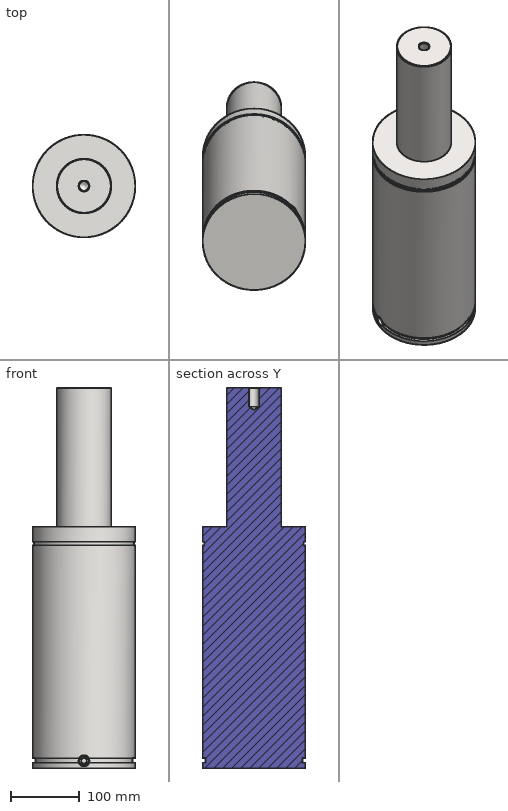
import cadquery as cq
import math

total_height = 555.0
body_diameter = 150.0
body_height = 352.5
rod_diameter = 80.0
rod_chamfer = 1.0

upper_groove_bottom = 325.0
upper_groove_width = 5.0
upper_groove_depth = 1.5
lower_groove_bottom = 8.5
lower_groove_width = 6.5
lower_groove_depth = 4.0

rod_hole_diameter = 14.0
rod_hole_mouth_diameter = 16.0
rod_hole_depth = 28.0
drill_point_angle = 118.0

port_height = 11.0
port_diameter = 16.0
port_rim_diameter = 14.0
port_bore_diameter = 8.5
port_recess_depth = 5.5
port_bore_depth = 11.0
port_root_depth = 14.0

body_radius = body_diameter / 2
port_face = math.sqrt(body_radius**2 - (port_diameter / 2) ** 2)


def body_groove(bottom, width, depth):
    """Ring to cut from the outside of the body."""
    return (
        cq.Workplane("XY", origin=(0, 0, bottom))
        .circle(body_radius)
        .circle(body_radius - depth)
        .extrude(width)
    )


def rod_hole():
    """Blind hole with a chamfered mouth and a conical drill point."""
    radius = rod_hole_diameter / 2
    mouth_radius = rod_hole_mouth_diameter / 2
    mouth_chamfer = mouth_radius - radius
    point_depth = radius / math.tan(math.radians(drill_point_angle / 2))
    floor = total_height - rod_hole_depth
    return (
        cq.Workplane("XZ")
        .moveTo(0, total_height)
        .lineTo(mouth_radius, total_height)
        .lineTo(radius, total_height - mouth_chamfer)
        .lineTo(radius, floor)
        .lineTo(0, floor - point_depth)
        .close()
        .revolve(360, (0, 0, 0), (0, 1, 0))
    )


def port_cylinder(diameter, outer, depth):
    """Cylinder along Y, running inward from the distance `outer` on the -Y side."""
    return (
        cq.Workplane("XZ", origin=(0, -outer + depth, port_height))
        .circle(diameter / 2)
        .extrude(depth)
    )


body = cq.Workplane("XY").circle(body_radius).extrude(body_height)
body = body.cut(body_groove(upper_groove_bottom, upper_groove_width, upper_groove_depth))
body = body.cut(body_groove(lower_groove_bottom, lower_groove_width, lower_groove_depth))

rod = (
    cq.Workplane("XY", origin=(0, 0, body_height))
    .circle(rod_diameter / 2)
    .extrude(total_height - body_height)
    .faces(">Z")
    .chamfer(rod_chamfer)
)

result = body.union(rod).cut(rod_hole())

result = result.cut(port_cylinder(port_diameter, body_radius, body_radius - port_face))
result = result.union(port_cylinder(port_diameter, port_face, port_root_depth))
result = result.cut(port_cylinder(port_rim_diameter, port_face, port_recess_depth))
result = result.cut(port_cylinder(port_bore_diameter, port_face, port_bore_depth))